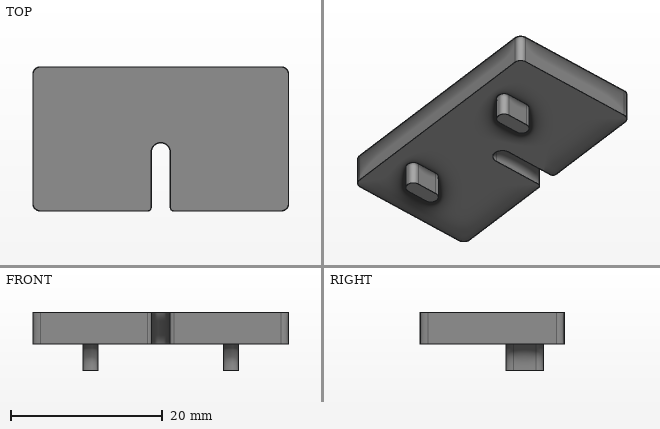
import cadquery as cq

length = 33.7
width = 19.0
plate_height = 4.18
corner_radius = 1.0

slot_width = 2.5
slot_depth = 9.0
mouth_radius = 0.5

peg_drop = 3.5
peg_thickness = 2.0
peg_length = 5.0
peg_spacing = 18.5
peg_offset_y = 4.28


def make_plate():
    """Rounded plate with its underside at Z = 0."""
    plate = cq.Workplane("XY").box(length, width, plate_height, centered=(True, True, False))
    return plate.edges("|Z").fillet(corner_radius)


def cut_slot(plate):
    """Cut the slot through the plate and round its mouth."""
    front_y = -width / 2
    slot_radius = slot_width / 2
    arc_center_y = front_y + slot_depth - slot_radius
    slot = (
        cq.Workplane("XY")
        .moveTo(-slot_radius, front_y)
        .lineTo(-slot_radius, arc_center_y)
        .threePointArc((0, front_y + slot_depth), (slot_radius, arc_center_y))
        .lineTo(slot_radius, front_y)
        .close()
        .extrude(plate_height)
    )
    slotted = plate.cut(slot)
    mouth_edges = cq.selectors.BoxSelector(
        (-slot_width, front_y - 0.35, -0.35),
        (slot_width, front_y + 0.35, plate_height + 0.35),
    )
    return slotted.edges("|Z").edges(mouth_edges).fillet(mouth_radius)


def make_pegs():
    """Pegs run lengthwise along Y and hang below the plate."""
    centers = [(side * peg_spacing / 2, peg_offset_y) for side in (-1, 1)]
    return cq.Workplane("XY").pushPoints(centers).slot2D(peg_length, peg_thickness, 90).extrude(-peg_drop)


result = cut_slot(make_plate()).union(make_pegs())